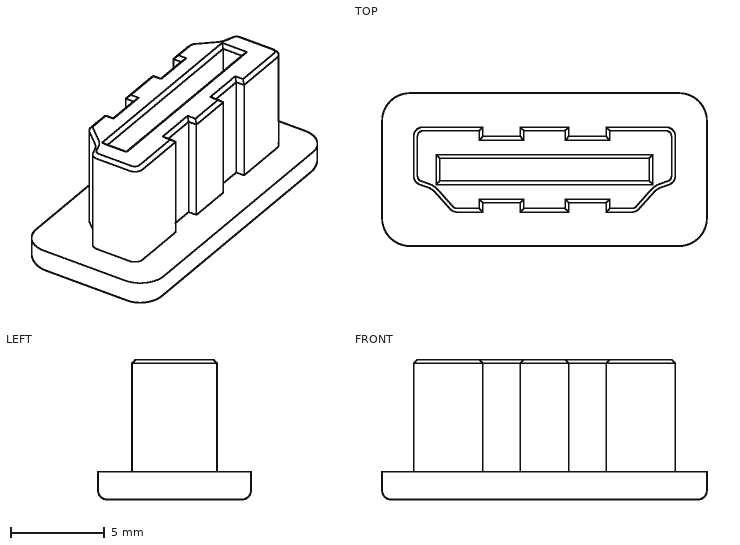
import cadquery as cq

flange_length = 17.4
flange_width = 8.2
flange_thickness = 1.5
flange_corner_radius = 1.5
flange_bottom_radius = 0.5

total_height = 7.5
plug_height = total_height - flange_thickness
plug_length = 14.0
plug_width = 4.55
half_length = plug_length / 2
half_width = plug_width / 2
corner_radius = 0.5
shoulder_radius = 1.0
edge_chamfer = 0.2

shoulder_start_y = -0.69
shoulder_x = 6.02
shoulder_y = -1.03
bottom_half_length = 4.9

notch_length = 2.0
notch_depth = 0.5
notch_spacing = 4.6

slot_length = 11.2
slot_width = 1.2
slot_depth = plug_height


def make_flange():
    """Plate with rounded corners and a rounded lower rim."""
    plate = cq.Workplane("XY").box(
        flange_length, flange_width, flange_thickness, centered=(True, True, False)
    )
    plate = plate.edges("|Z").fillet(flange_corner_radius)
    return plate.faces("<Z").edges().fillet(flange_bottom_radius)


def fillet_vertical_edges(solid, points, radius):
    """Round the vertical plug edges that pass through the given XY points."""
    middle_z = flange_thickness + plug_height / 2
    selected = cq.Workplane()
    for x, y in points:
        selected.add(solid.edges(cq.NearestToPointSelector((x, y, middle_z))))
    return cq.Workplane(solid.val().fillet(radius, selected.vals()))


def make_plug_blank():
    """Prism with the keyed connector outline and rounded corners."""
    right_side = [
        (half_length, half_width),
        (half_length, shoulder_start_y),
        (shoulder_x, shoulder_y),
        (bottom_half_length, -half_width),
    ]
    left_side = [(-x, y) for x, y in right_side]
    outline = right_side + left_side[::-1]
    blank = (
        cq.Workplane("XY")
        .workplane(offset=flange_thickness)
        .polyline(outline)
        .close()
        .extrude(plug_height)
    )
    shoulders = [(shoulder_x, shoulder_y), (-shoulder_x, shoulder_y)]
    corners = [point for point in outline if point not in shoulders]
    blank = fillet_vertical_edges(blank, shoulders, shoulder_radius)
    return fillet_vertical_edges(blank, corners, corner_radius)


def cut_notches(plug):
    """Two full-height notches in each long face."""
    notches = (
        cq.Workplane("XY")
        .workplane(offset=flange_thickness)
        .rarray(notch_spacing, plug_width, 2, 2)
        .rect(notch_length, 2 * notch_depth)
        .extrude(plug_height)
    )
    return plug.cut(notches)


def cut_slot(plug):
    """Rectangular slot sunk from the top of the plug."""
    slot = (
        cq.Workplane("XY")
        .workplane(offset=total_height - slot_depth)
        .rect(slot_length, slot_width)
        .extrude(slot_depth)
    )
    return plug.cut(slot)


plug = cut_slot(cut_notches(make_plug_blank()))
plug = plug.faces(">Z").edges().chamfer(edge_chamfer)
result = make_flange().union(plug)